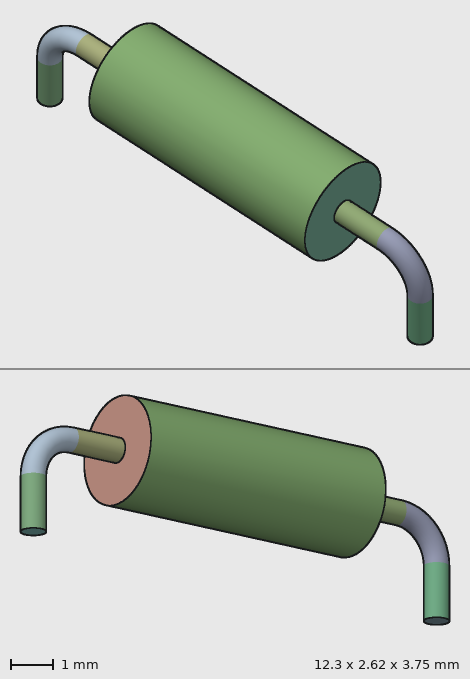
import cadquery as cq

overall_length = 12.29
body_diameter = 2.62
body_length = 6.81
overall_height = 3.75
wire_diameter = 0.6
bend_radius = 1.09

body_end = body_length / 2
leg_x = overall_length / 2 - wire_diameter / 2
bend_start_x = leg_x - bend_radius
leg_bottom_z = body_diameter / 2 - overall_height


def make_body():
    """Solid cylinder along X, centred on the origin."""
    return (
        cq.Workplane("YZ", origin=(-body_end, 0, 0))
        .circle(body_diameter / 2)
        .extrude(body_length)
    )


def make_lead(side):
    """Round wire that leaves one body end (side = -1 or 1) and bends down."""
    bend_centre = cq.Vector(side * bend_start_x, 0, -bend_radius)
    bend_middle = bend_centre + cq.Vector(side, 0, 1).normalized() * bend_radius
    path = (
        cq.Workplane("XZ")
        .moveTo(side * body_end, 0)
        .lineTo(side * bend_start_x, 0)
        .threePointArc((bend_middle.x, bend_middle.z), (side * leg_x, -bend_radius))
        .lineTo(side * leg_x, leg_bottom_z)
    )
    return (
        cq.Workplane("YZ", origin=(side * body_end, 0, 0))
        .circle(wire_diameter / 2)
        .sweep(path)
    )


body = make_body()
leads = [make_lead(side) for side in (-1, 1)]

result = cq.Compound.makeCompound([body.val(), *[lead.val() for lead in leads]])